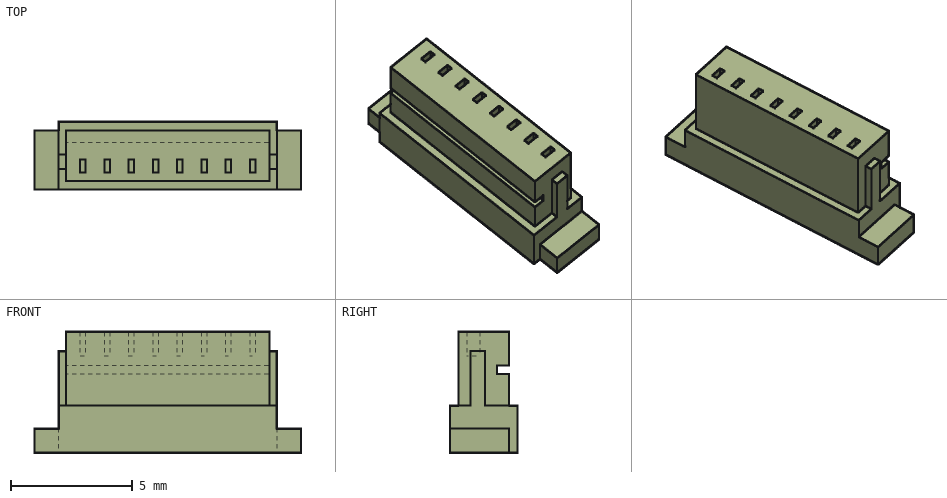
import cadquery as cq

total_length = 11.0
base_depth = 2.8
total_height = 5.0

base_length = 9.0
base_height = 1.95
wing_depth = 2.45
wing_height = 1.0

housing_length = 8.4
housing_depth = 2.1
housing_front = (base_depth - housing_depth) / 2
housing_back = housing_front + housing_depth

rib_width = 0.6
rib_front = 0.86
rib_top = 4.2

groove_bottom = 3.26
groove_height = 0.34
groove_depth = 0.5

slot_count = 8
slot_pitch = 1.0
slot_length = 0.23
slot_width = 0.53
slot_front = 0.72
slot_depth = 1.0


def centred_box(length, front, depth, bottom, top):
    """Box centred on X, running back from front and up from bottom to top."""
    return (
        cq.Workplane("XY", origin=(0, front + depth / 2, bottom))
        .box(length, depth, top - bottom, centered=(True, True, False))
    )


def make_base():
    wings = centred_box(total_length, 0, wing_depth, 0, wing_height)
    block = centred_box(base_length, 0, base_depth, 0, base_height)
    return block.union(wings)


def make_housing():
    """Upper housing together with its two end ribs, which end flush with the base."""
    body = centred_box(housing_length, housing_front, housing_depth, base_height, total_height)
    ribs = centred_box(base_length, rib_front, rib_width, base_height, rib_top)
    return body.union(ribs)


def make_latch_groove():
    """Square-cornered groove cutter, open at both ends."""
    groove_front = housing_back - groove_depth
    return centred_box(
        housing_length, groove_front, groove_depth, groove_bottom, groove_bottom + groove_height
    )


def make_contact_slots():
    slot_centre = slot_front + slot_width / 2
    return (
        cq.Workplane("XY", origin=(0, slot_centre, total_height))
        .rarray(slot_pitch, 0.11, slot_count, 1)
        .rect(slot_length, slot_width)
        .extrude(-slot_depth)
    )


result = (
    make_base()
    .union(make_housing())
    .cut(make_latch_groove())
    .cut(make_contact_slots())
)